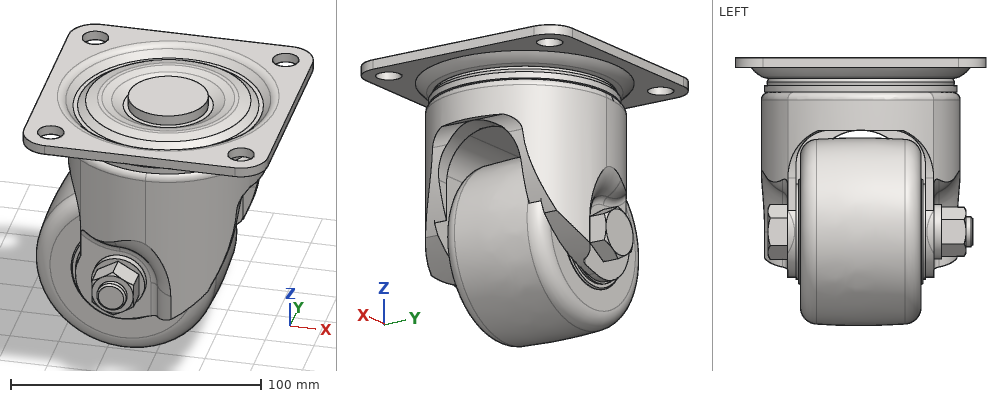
import cadquery as cq
import math


overall_height = 107.0
wheel_radius = 37.5
trail = 13.0
axle_x = -trail
axle_z = wheel_radius - overall_height

plate_side = 100.0
plate_thickness = 4.0
plate_corner_radius = 11.0
bolt_hole_pitch = 78.0
bolt_hole_diameter = 10.5
plate_depth = 8.4
cap_radius = 16.0
cap_base_z = -4.2
cap_flat_radius = 18.0
cap_slope_top = (22.6, -1.8)
ridge_inner_radius = 26.5
ridge_outer_radius = 28.2
ridge_top_z = -0.9
ridge_shoulder = (33.0, -2.1)
groove_floor_z = -4.3
groove_inner_radius = 36.2
groove_outer_radius = 38.0
bowl_wall_top = (40.9, -1.6)
bowl_round_mid = (42.5, -0.4)
bowl_rim_radius = 44.5
dish_floor_radius = 37.0
dish_edge = (39.2, -7.8)
dish_flare_mid = (41.6, -6.2)
dish_rim_radius = 43.7

bearing_neck_radius = 37.2
bearing_lip_radius = 37.5
bearing_top_radius = 36.8
bearing_lip_z = -9.7
seal_radius = 38.5
seal_top_z = -11.2
fork_top_z = -13.8

fork_radius = 39.7
fork_corner = 29.1
fork_top_round = 3.2
slot_half_width = 25.8
slot_top_z = -29.0
slot_corner_radius = 13.5
slot_rear_x = 26.0
tunnel_radius = 20.0
arm_face_y = 29.2
arm_end_radius = 18.2
fork_bottom_z = axle_z - arm_end_radius

front_lip_x = -36.5
front_curve_mid = (-31.4, -37.0)
front_curve_end_z = -48.0
sole_curve_mid = (8.0, -81.2)
heel = (23.7, -69.0)
back_curve_mid = (30.6, -52.0)
back_waist = (33.2, -35.6)
rear_lip_mid = (34.6, -31.5)
rear_lip_x = 36.8

recess_floor_radius = 12.7
recess_foot_radius = 3.5
recess_wall_slope = math.radians(64)
recess_rim_slope = math.radians(12)
recess_flare_radius = 24.0

wheel_half_width = 24.1
tread_half_width = 17.6
crown_height = 0.6
sidewall_radius = 29.8
shoulder_bulge = 1.4
boss_radius = 21.1
boss_half_width = 24.9
boss_chamfer = 0.6
hub_radius = 19.0

axle_diameter = 12.0
head_across_flats = 19.0
head_height = 7.8
nut_across_flats = 17.0
nut_height = 9.8
flange_diameter = 21.8
flange_thickness = 3.0
bolt_tip_y = -44.7
tip_chamfer = 0.8

BIG = 200.0
clearance = 5.0


def axle_workplane(y):
    """Workplane square to the axle at the given Y, facing -Y."""
    return cq.Workplane("XZ", origin=(axle_x, y, axle_z))


def axle_cylinder(radius, start_y, end_y):
    """Cylinder on the axle from start_y down to end_y."""
    return axle_workplane(start_y).circle(radius).extrude(start_y - end_y)


def make_plate():
    """Square plate with a pressed bearing dish, a raised ring and a central cap."""
    sheet = (
        cq.Workplane("XY")
        .box(plate_side, plate_side, plate_thickness, centered=(True, True, False))
        .translate((0, 0, -plate_thickness))
        .edges("|Z").fillet(plate_corner_radius)
        .faces(">Z").workplane()
        .rect(bolt_hole_pitch, bolt_hole_pitch, forConstruction=True).vertices()
        .hole(bolt_hole_diameter)
    )
    dish = (
        cq.Workplane("XZ")
        .moveTo(0, -plate_depth)
        .lineTo(dish_floor_radius, -plate_depth)
        .lineTo(*dish_edge)
        .threePointArc(dish_flare_mid, (dish_rim_radius, -plate_thickness))
        .lineTo(dish_rim_radius, -plate_thickness / 2)
        .lineTo(0, -plate_thickness / 2)
        .close()
        .revolve(360, (0, 0, 0), (0, 1, 0))
    )
    hollow = (
        cq.Workplane("XZ")
        .moveTo(cap_radius, 0)
        .lineTo(cap_radius, cap_base_z)
        .lineTo(cap_flat_radius, cap_base_z)
        .lineTo(*cap_slope_top)
        .lineTo(ridge_inner_radius, ridge_top_z)
        .lineTo(ridge_outer_radius, ridge_top_z)
        .lineTo(*ridge_shoulder)
        .lineTo(groove_inner_radius, groove_floor_z)
        .lineTo(groove_outer_radius, groove_floor_z)
        .lineTo(*bowl_wall_top)
        .threePointArc(bowl_round_mid, (bowl_rim_radius, 0))
        .close()
        .revolve(360, (0, 0, 0), (0, 1, 0))
    )
    return sheet.union(dish).cut(hollow)


def fork_drum(centre_x, centre_y, radius):
    """Upright cylinder of the fork's height with a rounded top edge."""
    return (
        cq.Workplane("XY", origin=(centre_x, centre_y, fork_bottom_z))
        .circle(radius)
        .extrude(fork_top_z - fork_bottom_z)
        .faces(">Z").edges().fillet(fork_top_round)
    )


def fork_plan():
    """Upright block: round at the rear, with three shallow arcs meeting at two front corners."""
    corner_drop = fork_radius - fork_corner
    shallow_radius = (fork_corner**2 + corner_drop**2) / (2 * corner_drop)
    offset = shallow_radius - fork_radius
    front = (
        fork_drum(offset, 0, shallow_radius)
        .intersect(fork_drum(0, offset, shallow_radius))
        .intersect(fork_drum(0, -offset, shallow_radius))
    )
    rear_half = cq.Workplane("XY").box(BIG, BIG, BIG).translate((BIG / 2, 0, 0))
    rear = fork_drum(0, 0, fork_radius).intersect(rear_half)
    return front.cut(rear_half).union(rear)


def fork_side_profile():
    """Side outline of the fork, extruded across its full width."""
    reach = fork_radius + clearance
    arm_edge_z = axle_z + math.sqrt(arm_end_radius**2 - (fork_corner - trail) ** 2)
    arm_diagonal = arm_end_radius * math.sqrt(0.5)
    return (
        cq.Workplane("XZ")
        .moveTo(-reach, 0)
        .lineTo(-reach, slot_top_z)
        .lineTo(front_lip_x, slot_top_z)
        .threePointArc(front_curve_mid, (-fork_corner, front_curve_end_z))
        .lineTo(-fork_corner, arm_edge_z)
        .threePointArc((axle_x - arm_diagonal, axle_z - arm_diagonal), (axle_x, fork_bottom_z))
        .threePointArc(sole_curve_mid, heel)
        .threePointArc(back_curve_mid, back_waist)
        .threePointArc(rear_lip_mid, (rear_lip_x, slot_top_z))
        .lineTo(reach, slot_top_z)
        .lineTo(reach, 0)
        .close()
        .extrude(BIG / 2, both=True)
    )


def wheel_slot():
    """Arched slot for the wheel, with a narrower arched tunnel out of the rear."""
    floor_z = fork_bottom_z - clearance
    height = slot_top_z - floor_z
    slot = (
        cq.Workplane("XY")
        .box(slot_rear_x + BIG / 2, 2 * slot_half_width, height, centered=(False, True, False))
        .edges("|X and >Z").fillet(slot_corner_radius)
        .translate((-BIG / 2, 0, floor_z))
    )
    tunnel = (
        cq.Workplane("YZ")
        .moveTo(-tunnel_radius, floor_z)
        .lineTo(-tunnel_radius, slot_top_z - tunnel_radius)
        .threePointArc((0, slot_top_z), (tunnel_radius, slot_top_z - tunnel_radius))
        .lineTo(tunnel_radius, floor_z)
        .close()
        .extrude(BIG / 2)
    )
    return slot.union(tunnel)


def recess_section(plane, near_x, floor_x, direction):
    """Closed section from near_x to the S-shaped recess wall.

    The plane has its local Y pointing outward from the arm face. The wall leaves the floor at
    floor_x and reaches the full fork width further along in the given direction (+1 or -1).
    It is a concave foot arc that turns up to recess_wall_slope, then a convex crest arc that
    turns back to recess_rim_slope.
    """
    depth = fork_radius - arm_face_y
    foot = recess_foot_radius
    foot_height = foot * (1 - math.cos(recess_wall_slope))
    crest = (depth - foot_height) / (math.cos(recess_rim_slope) - math.cos(recess_wall_slope))
    crest_centre_x = (foot + crest) * math.sin(recess_wall_slope)
    crest_centre_y = depth - crest * math.cos(recess_rim_slope)

    def foot_point(slope):
        return floor_x + direction * foot * math.sin(slope), foot * (1 - math.cos(slope))

    def crest_point(slope):
        x = crest_centre_x - crest * math.sin(slope)
        return floor_x + direction * x, crest_centre_y + crest * math.cos(slope)

    foot_mid = foot_point(recess_wall_slope / 2)
    foot_end = foot_point(recess_wall_slope)
    crest_mid = crest_point((recess_wall_slope + recess_rim_slope) / 2)
    rim = crest_point(recess_rim_slope)
    return (
        cq.Workplane(plane)
        .moveTo(near_x, 0)
        .lineTo(floor_x, 0)
        .threePointArc(foot_mid, foot_end)
        .threePointArc(crest_mid, rim)
        .lineTo(rim[0], depth + clearance)
        .lineTo(near_x, depth + clearance)
        .close()
    )


def arm_recess():
    """Recess in the -Y arm: round over the axle, straight below it, flared to the front."""
    flare_z = axle_z + recess_floor_radius + recess_flare_radius
    axle_plane = cq.Plane(origin=(axle_x, -arm_face_y, axle_z), xDir=(1, 0, 0), normal=(0, 0, -1))
    flare_plane = cq.Plane(origin=(axle_x, -arm_face_y, flare_z), xDir=(1, 0, 0), normal=(0, 0, -1))
    over_axle = recess_section(axle_plane, 0, recess_floor_radius, 1).revolve(360, (0, 0), (0, 1))
    below_axle = recess_section(axle_plane, -fork_radius, recess_floor_radius, 1).extrude(fork_radius)
    flare_core = recess_section(flare_plane, 0, recess_flare_radius, -1).revolve(360, (0, 0), (0, 1))
    front_block = cq.Workplane("XY").box(
        fork_radius, fork_radius, flare_z - axle_z, centered=False
    ).translate((axle_x - fork_radius, -arm_face_y - fork_radius, axle_z))
    return over_axle.union(below_axle).union(front_block.cut(flare_core))


def make_fork():
    """Fork body with its bearing rings, wheel slot, arm recesses and axle hole."""
    rings = (
        cq.Workplane("XZ")
        .moveTo(0, fork_top_z - fork_top_round)
        .lineTo(bearing_top_radius, fork_top_z - fork_top_round)
        .lineTo(bearing_top_radius, fork_top_z)
        .lineTo(seal_radius, fork_top_z)
        .lineTo(seal_radius, seal_top_z)
        .lineTo(bearing_neck_radius, seal_top_z)
        .lineTo(bearing_lip_radius, bearing_lip_z)
        .lineTo(bearing_top_radius, -plate_depth)
        .lineTo(0, -plate_depth)
        .close()
        .revolve(360, (0, 0, 0), (0, 1, 0))
    )
    arm_end = axle_cylinder(arm_end_radius, arm_face_y, -arm_face_y)
    arm_end = arm_end.cut(axle_cylinder(arm_end_radius, slot_half_width, -slot_half_width))
    recess = arm_recess()
    axle_hole = axle_cylinder(axle_diameter / 2, BIG / 2, -BIG / 2)
    return (
        fork_plan().intersect(fork_side_profile())
        .cut(wheel_slot())
        .cut(recess).cut(recess.mirror("XZ"))
        .union(arm_end)
        .union(rings)
        .cut(axle_hole)
    )


def hexagon(across_flats, start_y, end_y):
    """Hexagonal prism on the axle with one corner straight up."""
    return (
        axle_workplane(start_y)
        .polygon(6, across_flats / math.cos(math.pi / 6))
        .extrude(start_y - end_y)
        .rotate((axle_x, 0, axle_z), (axle_x, 1, axle_z), 30)
    )


def bevel_corners(across_flats, flat_y, inward):
    """Cone on the axle that bevels the corners of a hexagon at its outer face flat_y."""
    flat_radius = across_flats / 2
    base_radius = 2 * flat_radius
    rise = (base_radius - flat_radius) * math.tan(math.pi / 6)
    section = (
        cq.Workplane("XY", origin=(axle_x, 0, axle_z))
        .moveTo(0, flat_y)
        .lineTo(flat_radius, flat_y)
        .lineTo(base_radius, flat_y + inward * rise)
        .lineTo(base_radius, flat_y + inward * BIG / 2)
        .lineTo(0, flat_y + inward * BIG / 2)
        .close()
    )
    return section.revolve(360, (0, 0), (0, 1))


def make_wheel():
    """Crowned wheel with rounded shoulders, a raised boss and a hub on each side."""
    shoulder_radius = wheel_radius - crown_height
    shoulder_mid_radius = (shoulder_radius + sidewall_radius) / 2 + shoulder_bulge
    shoulder_mid_y = (tread_half_width + wheel_half_width) / 2 + shoulder_bulge
    bore = axle_diameter / 2
    profile = (
        cq.Workplane("XY", origin=(axle_x, 0, axle_z))
        .moveTo(bore, slot_half_width)
        .lineTo(hub_radius, slot_half_width)
        .lineTo(hub_radius, boss_half_width)
        .lineTo(boss_radius - boss_chamfer, boss_half_width)
        .lineTo(boss_radius, boss_half_width - boss_chamfer)
        .lineTo(boss_radius, wheel_half_width)
        .lineTo(sidewall_radius, wheel_half_width)
        .threePointArc((shoulder_mid_radius, shoulder_mid_y), (shoulder_radius, tread_half_width))
        .threePointArc((wheel_radius, 0), (shoulder_radius, -tread_half_width))
        .threePointArc((shoulder_mid_radius, -shoulder_mid_y), (sidewall_radius, -wheel_half_width))
        .lineTo(boss_radius, -wheel_half_width)
        .lineTo(boss_radius, boss_chamfer - boss_half_width)
        .lineTo(boss_radius - boss_chamfer, -boss_half_width)
        .lineTo(hub_radius, -boss_half_width)
        .lineTo(hub_radius, -slot_half_width)
        .lineTo(bore, -slot_half_width)
        .close()
    )
    return profile.revolve(360, (0, 0), (0, 1))


def make_bolt():
    """Axle bolt with its hexagon head on the +Y arm."""
    head_top_y = arm_face_y + head_height
    head = hexagon(head_across_flats, head_top_y, arm_face_y)
    head = head.intersect(bevel_corners(head_across_flats, head_top_y, -1))
    shank = axle_cylinder(axle_diameter / 2, arm_face_y, bolt_tip_y).faces("<Y").chamfer(tip_chamfer)
    return head.union(shank)


def make_nut():
    """Hexagon nut with a round flange against the -Y arm."""
    flange_y = -arm_face_y - flange_thickness
    nut_top_y = flange_y - nut_height
    flange = axle_cylinder(flange_diameter / 2, -arm_face_y, flange_y)
    nut = hexagon(nut_across_flats, flange_y, nut_top_y)
    nut = nut.intersect(bevel_corners(nut_across_flats, nut_top_y, 1))
    bore = axle_cylinder(axle_diameter / 2, 0, -BIG / 2)
    return flange.union(nut).cut(bore)


plate = make_plate()
fork = make_fork()
wheel = make_wheel()
bolt = make_bolt()
nut = make_nut()
result = cq.Compound.makeCompound(
    [plate.val(), fork.val(), wheel.val(), bolt.val(), nut.val()]
)